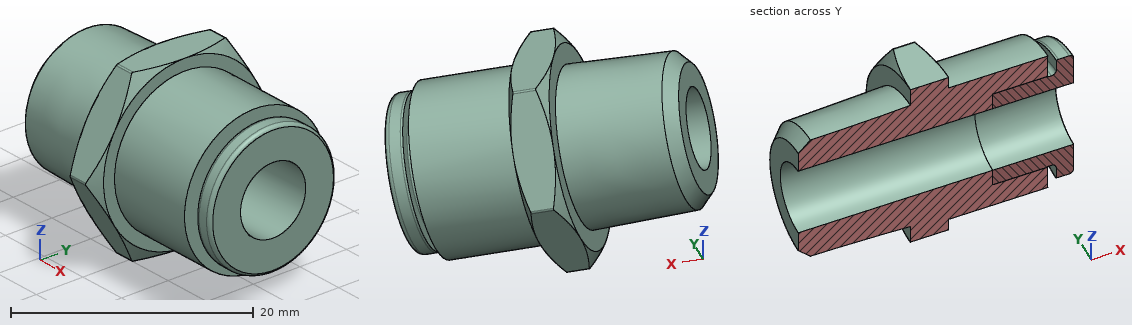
import cadquery as cq
import math

TOTAL_LENGTH = 25.1
HEX_START = 10.22
HEX_LENGTH = 3.5
BARREL_END = 22.75
BORE_DIAMETER = 7.0

THREAD_TIP_DIAMETER = 13.35
THREAD_ROOT_DIAMETER = 13.93
TIP_CHAMFER = 1.1

HEX_FLATS = 17.47
HEX_CORNER_FILLET = 0.2
HEX_BEVEL_ANGLE = 30

BARREL_DIAMETER = 15.1
SOCKET_DEPTH = 5.02

NECK_DIAMETER = 10.32
NECK_FILLET = 0.45
NECK_FILLET_END_DIAMETER = 11.02
FLANGE_START = 23.5
FLANGE_DIAMETER = 13.58
FLANGE_END_DIAMETER = 12.98
FLANGE_ROUND = 0.45
FLANGE_BEVEL_LENGTH = 0.2
FLANGE_BEVEL_DEPTH = 0.03

BORE_RADIUS = BORE_DIAMETER / 2
HEX_END = HEX_START + HEX_LENGTH
SOCKET_FLOOR = BARREL_END - SOCKET_DEPTH


def revolve_about_x(profile):
    """Turn a closed (x, radius) profile about the X axis."""
    return profile.close().revolve(360, (0, 0, 0), (1, 0, 0))


def disc(start, end, radius):
    """A solid cylinder along X."""
    return cq.Workplane("YZ", origin=(start, 0, 0)).circle(radius).extrude(end - start)


def make_thread_end():
    """A cone that widens toward the hexagon, with a 45 degree chamfer at its tip."""
    tip_radius = THREAD_TIP_DIAMETER / 2
    root_radius = THREAD_ROOT_DIAMETER / 2
    return revolve_about_x(
        cq.Workplane("XY")
        .moveTo(0, 0)
        .lineTo(0, tip_radius - TIP_CHAMFER)
        .lineTo(TIP_CHAMFER, tip_radius)
        .lineTo(HEX_START, root_radius)
        .lineTo(HEX_START, 0)
    )


def make_hex_collar():
    """A hexagon with two corners on the Y axis, its corners rounded and bevelled on both faces."""
    corner_diameter = HEX_FLATS / math.cos(math.pi / 6)
    prism = (
        cq.Workplane("YZ", origin=(HEX_START, 0, 0))
        .polygon(6, corner_diameter)
        .extrude(HEX_LENGTH)
        .edges("|X")
        .fillet(HEX_CORNER_FILLET)
    )
    face_radius = HEX_FLATS / 2
    corner_radius = corner_diameter / 2
    bevel_length = (corner_radius - face_radius) * math.tan(math.radians(HEX_BEVEL_ANGLE))
    bevelled_blank = revolve_about_x(
        cq.Workplane("XY")
        .moveTo(HEX_START, 0)
        .lineTo(HEX_START, face_radius)
        .lineTo(HEX_START + bevel_length, corner_radius)
        .lineTo(HEX_END - bevel_length, corner_radius)
        .lineTo(HEX_END, face_radius)
        .lineTo(HEX_END, 0)
    )
    return prism.intersect(bevelled_blank)


def make_housing():
    """Thread end, hexagon and barrel in one piece, with a socket for the release ring."""
    barrel = disc(HEX_END, BARREL_END, BARREL_DIAMETER / 2)
    socket = disc(SOCKET_FLOOR, BARREL_END, NECK_DIAMETER / 2)
    bore = disc(0, BARREL_END, BORE_RADIUS)
    return make_thread_end().union(make_hex_collar()).union(barrel).cut(socket).cut(bore)


def cut_short_arc(radius, rise):
    """Run and midpoint, from its tangent end, of an arc that stops after the given rise."""
    sweep = math.acos(1 - rise / radius)
    run = radius * math.sin(sweep)
    middle_run = radius * math.sin(sweep / 2)
    middle_rise = radius * (1 - math.cos(sweep / 2))
    return run, middle_run, middle_rise


def make_release_ring():
    """A flanged tube whose neck stands in the barrel socket.

    The neck fillet and the flange round are both tangent at one end only: each
    stops short of a quarter turn where it meets a flat face of the flange.
    """
    neck_radius = NECK_DIAMETER / 2
    fillet_end_radius = NECK_FILLET_END_DIAMETER / 2
    flange_radius = FLANGE_DIAMETER / 2
    end_radius = FLANGE_END_DIAMETER / 2

    fillet_run, fillet_mid_run, fillet_mid_rise = cut_short_arc(NECK_FILLET, fillet_end_radius - neck_radius)
    fillet_start = FLANGE_START - fillet_run
    fillet_middle = (fillet_start + fillet_mid_run, neck_radius + fillet_mid_rise)

    round_run, round_mid_run, round_mid_drop = cut_short_arc(FLANGE_ROUND, flange_radius - end_radius)
    round_start = TOTAL_LENGTH - round_run
    round_middle = (round_start + round_mid_run, flange_radius - round_mid_drop)

    return revolve_about_x(
        cq.Workplane("XY")
        .moveTo(SOCKET_FLOOR, BORE_RADIUS)
        .lineTo(SOCKET_FLOOR, neck_radius)
        .lineTo(fillet_start, neck_radius)
        .threePointArc(fillet_middle, (FLANGE_START, fillet_end_radius))
        .lineTo(FLANGE_START, flange_radius - FLANGE_BEVEL_DEPTH)
        .lineTo(FLANGE_START + FLANGE_BEVEL_LENGTH, flange_radius)
        .lineTo(round_start, flange_radius)
        .threePointArc(round_middle, (TOTAL_LENGTH, end_radius))
        .lineTo(TOTAL_LENGTH, BORE_RADIUS)
    )


housing = make_housing()
release_ring = make_release_ring()

result = cq.Compound.makeCompound([housing.val(), release_ring.val()])